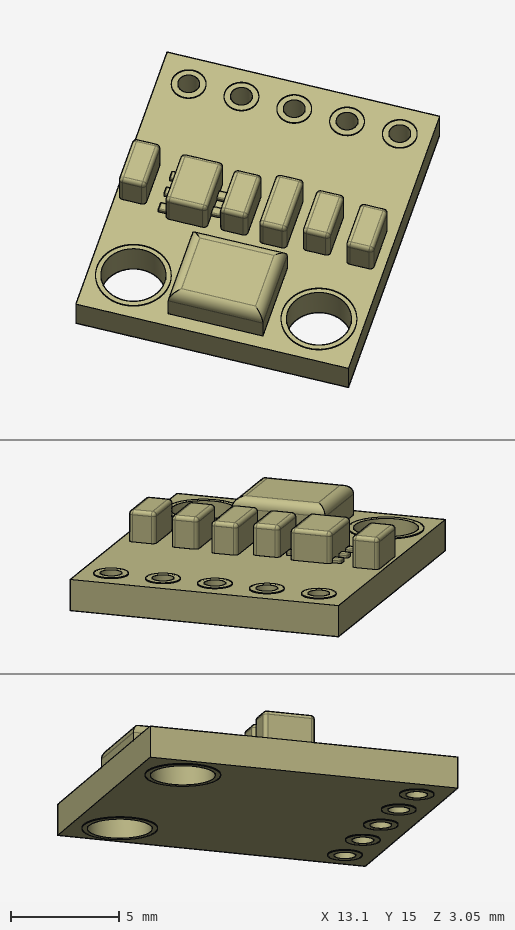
import cadquery as cq

BOARD_WIDTH = 13.1
BOARD_LENGTH = 15.0
BOARD_THICKNESS = 1.5

PAD_HEIGHT = 0.05
PIN_COUNT = 5
PIN_PITCH = 2.54
PIN_Y = 6.0
PIN_HOLE_DIAMETER = 1.0
PIN_PAD_DIAMETER = 1.6
MOUNT_X = 4.45
MOUNT_Y = -5.19
MOUNT_HOLE_DIAMETER = 3.0
MOUNT_PAD_DIAMETER = 3.5

COMPONENT_HEIGHT = 1.5
CHIP_EDGE_RADIUS = 0.2
CHIP_WIDTH = 1.3
SHORT_CHIP_LENGTH = 2.5
LONG_CHIP_LENGTH = 3.0
SHORT_CHIP_CENTRES = [(-5.7, 0.09), (-0.72, -0.3), (3.25, -0.33), (5.4, -0.52)]
LONG_CHIP_CENTRE = (1.22, -0.25)

REGULATOR_CENTRE = (-2.97, -0.25)
REGULATOR_WIDTH = 2.0
REGULATOR_LENGTH = 2.79
LEG_REACH = 1.42
LEG_WIDTH = 0.45
LEG_HEIGHT = 0.18
LEG_PITCH = 0.93
LEG_ROW_Y = -0.22
LEG_EDGE_RADIUS = 0.06

SENSOR_CENTRE = (-0.03, -4.83)
SENSOR_WIDTH = 4.55
SENSOR_LENGTH = 4.0
SENSOR_RIM_RADIUS = 0.5


def block(centre, width, length, height):
    """Box standing on the board's top face."""
    box = cq.Workplane("XY").box(width, length, height, centered=(True, True, False))
    return box.translate((centre[0], centre[1], 0))


def rounded_block(centre, width, length, height, radius):
    """Block with rounded upright and top edges."""
    return block(centre, width, length, height).edges("|Z or >Z").fillet(radius)


def chip(centre, width, length):
    """Component body of the common height and edge radius."""
    return rounded_block(centre, width, length, COMPONENT_HEIGHT, CHIP_EDGE_RADIUS)


def leg(side, offset_y):
    """Regulator leg reaching out from the chip centre; side is -1 for the left and 1 for the right."""
    centre = (REGULATOR_CENTRE[0] + side * LEG_REACH / 2, LEG_ROW_Y + offset_y)
    return rounded_block(centre, LEG_REACH, LEG_WIDTH, LEG_HEIGHT, LEG_EDGE_RADIUS)


def cylinders(centres, diameter):
    """Cylinders spanning the board and the pads on both of its faces."""
    bottom = -BOARD_THICKNESS - PAD_HEIGHT
    height = BOARD_THICKNESS + 2 * PAD_HEIGHT
    return (
        cq.Workplane("XY")
        .workplane(offset=bottom)
        .pushPoints(centres)
        .circle(diameter / 2)
        .extrude(height)
    )


pin_centres = [((i - (PIN_COUNT - 1) / 2) * PIN_PITCH, PIN_Y) for i in range(PIN_COUNT)]
mount_centres = [(-MOUNT_X, MOUNT_Y), (MOUNT_X, MOUNT_Y)]

result = block((0, 0), BOARD_WIDTH, BOARD_LENGTH, BOARD_THICKNESS).translate((0, 0, -BOARD_THICKNESS))
result = result.union(cylinders(pin_centres, PIN_PAD_DIAMETER))
result = result.union(cylinders(mount_centres, MOUNT_PAD_DIAMETER))
result = result.cut(cylinders(pin_centres, PIN_HOLE_DIAMETER))
result = result.cut(cylinders(mount_centres, MOUNT_HOLE_DIAMETER))

for short_chip_centre in SHORT_CHIP_CENTRES:
    result = result.union(chip(short_chip_centre, CHIP_WIDTH, SHORT_CHIP_LENGTH))
result = result.union(chip(LONG_CHIP_CENTRE, CHIP_WIDTH, LONG_CHIP_LENGTH))

result = result.union(chip(REGULATOR_CENTRE, REGULATOR_WIDTH, REGULATOR_LENGTH))
for left_step in (-1, 0, 1):
    result = result.union(leg(-1, left_step * LEG_PITCH))
for right_step in (-0.5, 0.5):
    result = result.union(leg(1, right_step * LEG_PITCH))

sensor = block(SENSOR_CENTRE, SENSOR_WIDTH, SENSOR_LENGTH, COMPONENT_HEIGHT)
result = result.union(sensor.faces(">Z").edges().fillet(SENSOR_RIM_RADIUS))